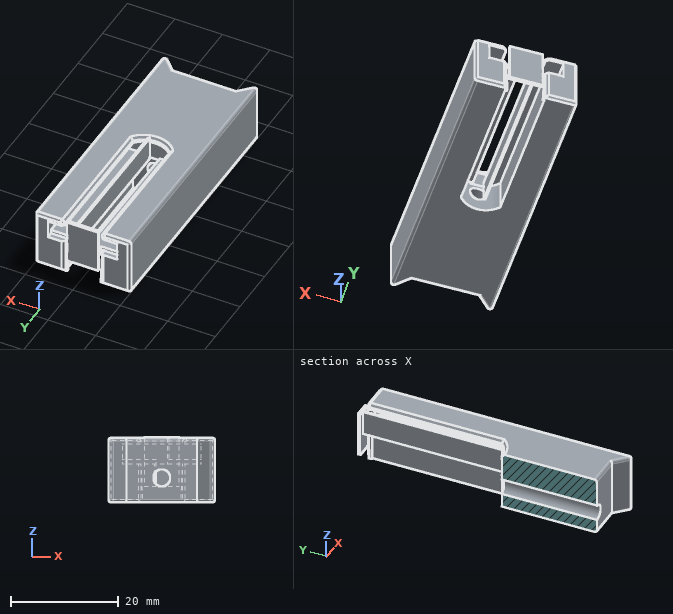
import cadquery as cq
import math

LENGTH = 52.05
WIDTH = 20.0
HOUSING_HEIGHT = 12.1
EDGE_RADIUS = 0.55
BACK_CHAMFER = 0.5

MOUTH_FLOOR_HALF = 6.6

SLOT_HALF = 3.85
SLOT_END_RADIUS = 5.05
SLOT_END_CENTRE_Y = 27.4
SLOT_CHAMFER = 0.6

GROOVE_HALF = 7.3
LEDGE_Z = 7.2
LIP_THICKNESS = 1.15
BORE_DIAMETER = 3.2
BORE_Z = 4.6

STOP_PROTRUSION = 0.3
STOP_LENGTH = 0.6

SLIDER_TOP = 12.2
PLATE_HALF = 3.25
PLATE_THICKNESS = 0.5
FLANGE_THICKNESS = 0.8
FLANGE_NOTCH_DEPTH = 1.25
FIN_INNER_X = 1.05
FIN_THICKNESS = 0.3
FIN_FRONT_Y = 22.7

HALF_WIDTH = WIDTH / 2
SLOT_FRONT_Y = SLOT_END_CENTRE_Y - SLOT_END_RADIUS
PLATE_FRONT_Y = LENGTH - PLATE_THICKNESS
FLANGE_BACK_Y = LENGTH - FLANGE_NOTCH_DEPTH
FLANGE_TOP = LEDGE_Z + FLANGE_THICKNESS
FLANGE_MID_Z = LEDGE_Z + FLANGE_THICKNESS / 2
SLIDER_BOTTOM = 2 * FLANGE_MID_Z - SLIDER_TOP


def box(x_range, y_range, z_range):
    """Box between the given limits along X, Y and Z."""
    corners = list(zip(x_range, y_range, z_range))
    size = [high - low for low, high in zip(*corners)]
    return cq.Workplane("XY").box(*size, centered=False).translate(corners[0])


def housing_block():
    """Outer block with the V mouth; the rounded horn tips just reach Y = 0."""
    flank_reach = HALF_WIDTH - EDGE_RADIUS * math.sqrt(2)
    mouth_floor_y = flank_reach - MOUTH_FLOOR_HALF
    sharp_tip_y = flank_reach - HALF_WIDTH
    outline = [
        (-HALF_WIDTH, LENGTH),
        (-HALF_WIDTH, sharp_tip_y),
        (-MOUTH_FLOOR_HALF, mouth_floor_y),
        (MOUTH_FLOOR_HALF, mouth_floor_y),
        (HALF_WIDTH, sharp_tip_y),
        (HALF_WIDTH, LENGTH),
    ]
    block = cq.Workplane("XY").polyline(outline).close().extrude(HOUSING_HEIGHT)
    block = block.edges("|Z").edges("<Y").fillet(EDGE_RADIUS)
    for end_face in ("<Z", ">Z"):
        block = block.faces(end_face).edges("not >Y").fillet(EDGE_RADIUS)
    return block


def slot_profile(base_z):
    """Closed outline of the slot, running out past the back, at the given height."""
    side_end_y = SLOT_END_CENTRE_Y - math.sqrt(SLOT_END_RADIUS**2 - SLOT_HALF**2)
    run_out_y = LENGTH + 2 * SLOT_CHAMFER
    return (
        cq.Workplane("XY", origin=(0, 0, base_z))
        .moveTo(-SLOT_HALF, run_out_y)
        .lineTo(-SLOT_HALF, side_end_y)
        .threePointArc((0, SLOT_FRONT_Y), (SLOT_HALF, side_end_y))
        .lineTo(SLOT_HALF, run_out_y)
        .close()
    )


def wedge_stops():
    """One wedge per slot wall, thickest at the bottom and fading out at the ledge."""
    stop_back_y = LENGTH - BACK_CHAMFER
    stops = cq.Workplane("XY")
    for side in (-1, 1):
        wall_x = side * SLOT_HALF
        profile = [(wall_x, 0), (wall_x - side * STOP_PROTRUSION, 0), (wall_x, LEDGE_Z)]
        stop = cq.Workplane("XZ", origin=(0, stop_back_y, 0)).polyline(profile).close()
        stops = stops.add(stop.extrude(STOP_LENGTH))
    return stops


def make_housing():
    slot = slot_profile(0).extrude(HOUSING_HEIGHT)
    slot_flare = slot_profile(HOUSING_HEIGHT - SLOT_CHAMFER).extrude(SLOT_CHAMFER, taper=-45)
    body = housing_block().cut(slot).cut(slot_flare)
    body = body.faces(">Y").edges().chamfer(BACK_CHAMFER)
    groove = box(
        (-GROOVE_HALF, GROOVE_HALF),
        (SLOT_FRONT_Y, LENGTH),
        (LEDGE_Z, HOUSING_HEIGHT - LIP_THICKNESS),
    )
    bore = (
        cq.Workplane("XZ")
        .center(0, BORE_Z)
        .circle(BORE_DIAMETER / 2)
        .extrude(-SLOT_END_CENTRE_Y)
    )
    body = body.cut(groove).cut(bore)
    for stop in wedge_stops().vals():
        body = body.union(cq.Workplane(stop))
    return body


def angle_bar():
    """Upright fin on the inner edge of a flange that reaches into the +X groove."""
    flange_z = (LEDGE_Z, FLANGE_TOP)
    fin = box(
        (FIN_INNER_X, FIN_INNER_X + FIN_THICKNESS),
        (FIN_FRONT_Y, PLATE_FRONT_Y),
        (LEDGE_Z, SLIDER_TOP),
    )
    flange = box((FIN_INNER_X, GROOVE_HALF), (FIN_FRONT_Y, FLANGE_BACK_Y), flange_z)
    tongue = box((FIN_INNER_X, PLATE_HALF), (FLANGE_BACK_Y, PLATE_FRONT_Y), flange_z)
    return fin.union(flange).union(tongue)


def make_slider():
    """Angle bar with its fin upward, joined to the back plate."""
    back_plate = box(
        (-PLATE_HALF, PLATE_HALF),
        (PLATE_FRONT_Y, LENGTH),
        (SLIDER_BOTTOM, SLIDER_TOP),
    )
    return angle_bar().union(back_plate)


def make_rail():
    """Angle bar turned half a turn about Y: flange in the -X groove, fin downward."""
    return angle_bar().rotate((0, 0, FLANGE_MID_Z), (0, 1, FLANGE_MID_Z), 180)


housing = make_housing()
slider = make_slider()
rail = make_rail()

result = cq.Compound.makeCompound([housing.val(), slider.val(), rail.val()])